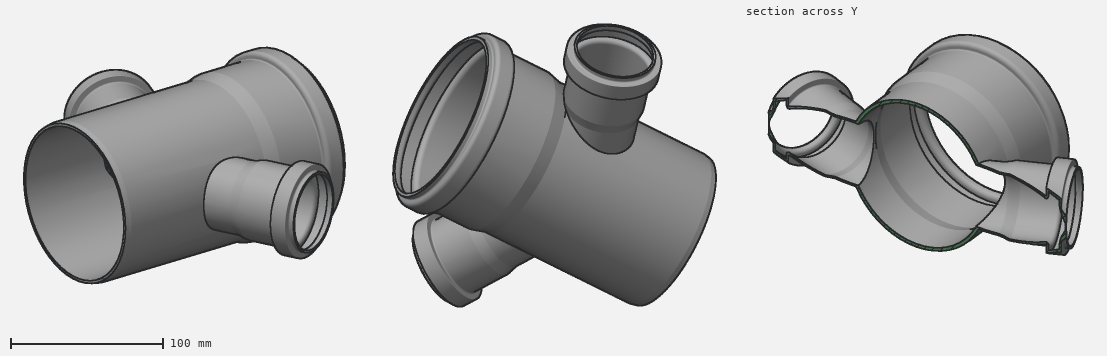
import cadquery as cq
import math

main_length = 180.5
main_outer_d = 110.1
main_bore_d = 104.6
spigot_end_d = 108.5
spigot_chamfer_length = 4.3

branch_angle = 22.5
branch_origin_y = 69.0
branch_reach = 118.0
branch_outer_d = 50.2
branch_bore_d = 46.5

MAIN_SOCKET = dict(
    lip_outer_d=116.0, lip_inner_d=111.3, outer_d=115.5, inner_d=110.8,
    bead_d=126.4, groove_d=121.5, bead_start=3.8, bead_end=18.5, wall=2.5,
    front_radius=2.9, rear_radius=3.0, root_radius=1.0,
    cone_start=52.5, cone_end=62.8,
)
BRANCH_SOCKET = dict(
    lip_outer_d=54.2, lip_inner_d=51.1, outer_d=54.0, inner_d=51.0,
    bead_d=63.5, groove_d=60.2, bead_start=3.5, bead_end=14.8, wall=1.7,
    front_radius=0.2, rear_radius=0.2, root_radius=1.0,
    cone_start=41.8, cone_end=49.5,
)


def frustum(length, start_d, end_d, start=0.0):
    """Round solid along +Z; its diameter changes evenly from start_d to end_d."""
    profile = [
        (0, start),
        (start_d / 2, start),
        (end_d / 2, start + length),
        (0, start + length),
    ]
    return cq.Workplane("XZ").polyline(profile).close().revolve(360, (0, 0), (0, 1))


def round_edge(shape, diameter, z, radius):
    """Fillet the one circular edge that has this diameter and height."""
    def is_wanted(edge):
        return math.isclose(edge.radius(), diameter / 2) and math.isclose(edge.Center().z, z)
    return shape.edges("%CIRCLE").filter(is_wanted).fillet(radius)


def socketed_pipe(length, pipe_d, socket_d, lip_d, ring_d, ring_start, ring_end, socket):
    """Round solid: pipe, cone, socket, raised ring and lip, with its mouth at Z = length."""
    sections = [
        (length, socket["cone_end"], pipe_d, pipe_d),
        (socket["cone_end"], socket["cone_start"], pipe_d, socket_d),
        (socket["cone_start"], ring_end, socket_d, socket_d),
        (ring_end, ring_start, ring_d, ring_d),
        (ring_start, 0, lip_d, lip_d),
    ]
    body = cq.Workplane()
    for start_depth, end_depth, start_d, end_d in sections:
        body = body.add(frustum(start_depth - end_depth, start_d, end_d, length - start_depth))
    return body.combine()


def pipe_outside(length, pipe_d, socket):
    """Outer form of a pipe with its socket and rounded sealing bead."""
    front = socket["bead_start"]
    rear = socket["bead_end"]
    body = socketed_pipe(
        length, pipe_d, socket["outer_d"], socket["lip_outer_d"], socket["bead_d"], front, rear, socket
    )
    body = round_edge(body, socket["bead_d"], length - front, socket["front_radius"])
    body = round_edge(body, socket["bead_d"], length - rear, socket["rear_radius"])
    body = round_edge(body, socket["lip_outer_d"], length - front, socket["root_radius"])
    return round_edge(body, socket["outer_d"], length - rear, socket["root_radius"])


def pipe_inside(length, bore_d, socket):
    """Bore of a pipe with its socket and the seal groove inside the bead."""
    front = socket["bead_start"] + socket["wall"]
    rear = socket["bead_end"] - socket["wall"]
    shoulder_radius = socket["root_radius"] + socket["wall"]
    bore = socketed_pipe(
        length, bore_d, socket["inner_d"], socket["lip_inner_d"], socket["groove_d"], front, rear, socket
    )
    bore = round_edge(bore, socket["lip_inner_d"], length - front, shoulder_radius)
    return round_edge(bore, socket["inner_d"], length - rear, shoulder_radius)


def along_main(shape):
    """Lay a shape built along +Z onto the +Y axis."""
    return shape.rotate((0, 0, 0), (1, 0, 0), -90)


def along_branch(shape, side):
    """Lay a shape built along +Z onto the branch axis; side is -1 or +1 in X."""
    tilted = along_main(shape).rotate((0, 0, 0), (0, 0, 1), -side * (90 - branch_angle))
    return tilted.translate((0, branch_origin_y, 0))


outside = pipe_outside(main_length, main_outer_d, MAIN_SOCKET)
spigot_blank = frustum(spigot_chamfer_length, main_outer_d, main_outer_d)
spigot_tip = frustum(spigot_chamfer_length, spigot_end_d, main_outer_d)
outside = along_main(outside.cut(spigot_blank.cut(spigot_tip)))
inside = along_main(pipe_inside(main_length, main_bore_d, MAIN_SOCKET))

for side in (-1, 1):
    branch_outside = pipe_outside(branch_reach, branch_outer_d, BRANCH_SOCKET)
    branch_inside = pipe_inside(branch_reach, branch_bore_d, BRANCH_SOCKET)
    outside = outside.union(along_branch(branch_outside, side))
    inside = inside.union(along_branch(branch_inside, side))

result = outside.cut(inside)